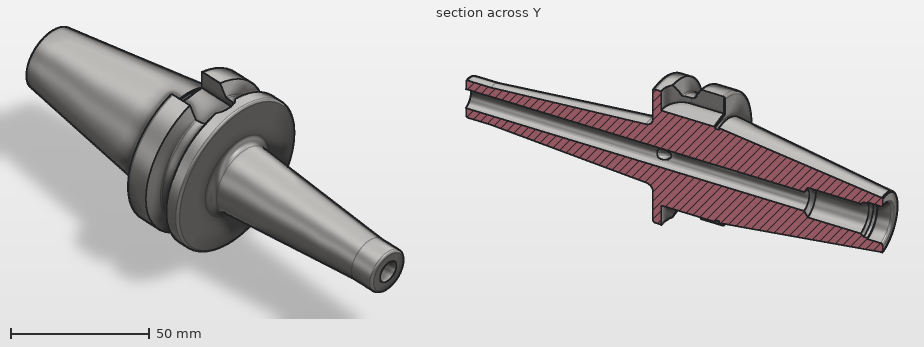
import cadquery as cq
import math

LENGTH = 167.4

SELECTION_MARGIN = 0.2

TAPER_RATE = 7 / 24
TAPER_LENGTH = 65.8
TAPER_LARGE_RADIUS = 22.5
TAPER_SMALL_RADIUS = TAPER_LARGE_RADIUS - TAPER_LENGTH * TAPER_RATE / 2
TAPER_END_CHAMFER = 0.3

NECK_RADIUS = 21.6
NECK_FILLET = 0.3

FLANGE_START = 67.3
FLANGE_END = 92.4
FLANGE_RADIUS = 31.5
FLANGE_ROUNDING = 1.0
GROOVE_RADIUS = 26.5
GROOVE_FLOOR_START = 79.7
GROOVE_FLOOR_END = 84.0
GROOVE_FLANK_ANGLE = 30.0
GROOVE_FILLET = 0.7
GROOVE_FLANK_WIDTH = (FLANGE_RADIUS - GROOVE_RADIUS) * math.tan(math.radians(GROOVE_FLANK_ANGLE))

SHANK_BASE_RADIUS = 14.0
SHANK_BASE_FILLET = 3.0
SHANK_TIP_RADIUS = 8.9
SHANK_TIP_LENGTH = 10.0
SHANK_TIP_ROUNDING = 1.0

SLOT_WIDTH = 16.0
SLOT_END = 88.9
SLOT_FLOOR_RADIUS = 22.5
SLOT_MOUTH_CHAMFER = 0.42

PILOT_RADIUS = 8.5
PILOT_DEPTH = 6.2
PILOT_ROUNDING = 1.0
COUNTERBORE_RADIUS = 8.0
COUNTERBORE_DEPTH = 7.7
THREAD_RADIUS = 6.9
THREAD_DEPTH = 30.1
THROUGH_RADIUS = 4.4
DRILL_POINT_ANGLE = 60.0

COOLANT_RADIUS = 2.0
COOLANT_MOUTH_RADIUS = 26.8
COOLANT_POSITION_ANGLE = 20.5
COOLANT_TILT = 45.0


def revolve_about_x(points):
    """Revolve a closed (x, radius) outline about the X axis."""
    return cq.Workplane("XZ").polyline(points).close().revolve(360, (0, 0, 0), (1, 0, 0))


def taper():
    body = revolve_about_x([
        (0, 0),
        (0, TAPER_SMALL_RADIUS),
        (TAPER_LENGTH, TAPER_LARGE_RADIUS),
        (TAPER_LENGTH, 0),
    ])
    return body.faces("<X").edges().chamfer(TAPER_END_CHAMFER)


def neck():
    """Cylinder that flares into the rear flange face with a small fillet."""
    fillet_center = (FLANGE_START - NECK_FILLET, NECK_RADIUS + NECK_FILLET)
    fillet_reach = NECK_FILLET * math.sqrt(0.5)
    return (
        cq.Workplane("XZ")
        .moveTo(TAPER_LENGTH, 0)
        .lineTo(TAPER_LENGTH, NECK_RADIUS)
        .lineTo(fillet_center[0], NECK_RADIUS)
        .threePointArc(
            (fillet_center[0] + fillet_reach, fillet_center[1] - fillet_reach),
            (FLANGE_START, fillet_center[1]),
        )
        .lineTo(FLANGE_START, 0)
        .close()
        .revolve(360, (0, 0, 0), (1, 0, 0))
    )


def flange():
    body = (
        cq.Workplane("YZ", origin=(FLANGE_START, 0, 0))
        .circle(FLANGE_RADIUS)
        .extrude(FLANGE_END - FLANGE_START)
        .edges()
        .fillet(FLANGE_ROUNDING)
    )
    groove = revolve_about_x([
        (GROOVE_FLOOR_START - GROOVE_FLANK_WIDTH, FLANGE_RADIUS),
        (GROOVE_FLOOR_START, GROOVE_RADIUS),
        (GROOVE_FLOOR_END, GROOVE_RADIUS),
        (GROOVE_FLOOR_END + GROOVE_FLANK_WIDTH, FLANGE_RADIUS),
    ])
    groove_floor = cq.selectors.RadiusNthSelector(0)
    return body.cut(groove.edges(groove_floor).fillet(GROOVE_FILLET))


def shank():
    tip_start = LENGTH - SHANK_TIP_LENGTH
    body = revolve_about_x([
        (FLANGE_END, 0),
        (FLANGE_END, SHANK_BASE_RADIUS),
        (tip_start, SHANK_TIP_RADIUS),
        (LENGTH, SHANK_TIP_RADIUS),
        (LENGTH, 0),
    ])
    return body.faces(">X").edges().fillet(SHANK_TIP_ROUNDING)


def round_shank_base(body):
    """Fillet the corner where the shank meets the front flange face."""
    reach = SHANK_BASE_RADIUS + SELECTION_MARGIN
    corner = cq.selectors.BoxSelector(
        (FLANGE_END - SELECTION_MARGIN, -reach, -reach),
        (FLANGE_END + SELECTION_MARGIN, reach, reach),
        boundingbox=True,
    )
    return body.edges(corner).fillet(SHANK_BASE_FILLET)


def drive_slot(side):
    """Round-ended slot cutter, above the axis for side 1 and below it for side -1."""
    half_width = SLOT_WIDTH / 2
    end_center = SLOT_END - half_width
    height = FLANGE_RADIUS - SLOT_FLOOR_RADIUS
    slot = (
        cq.Workplane("XY", origin=(0, 0, side * SLOT_FLOOR_RADIUS))
        .moveTo(FLANGE_START, -half_width)
        .lineTo(end_center, -half_width)
        .threePointArc((SLOT_END, 0), (end_center, half_width))
        .lineTo(FLANGE_START, half_width)
        .close()
        .extrude(side * height)
    )
    return slot.union(slot_mouth(side))


def slot_mouth(side):
    """Wedge that chamfers the walls and the floor of a slot at the rear flange face."""
    height = FLANGE_RADIUS - SLOT_FLOOR_RADIUS + SLOT_MOUTH_CHAMFER
    middle = side * (SLOT_FLOOR_RADIUS + height / 2)
    return (
        cq.Workplane("YZ", origin=(FLANGE_START, 0, middle))
        .rect(SLOT_WIDTH + 2 * SLOT_MOUTH_CHAMFER, height + 2 * SLOT_MOUTH_CHAMFER)
        .workplane(offset=SLOT_MOUTH_CHAMFER)
        .rect(SLOT_WIDTH, height)
        .loft(ruled=True)
    )


def bore():
    point_length = (THREAD_RADIUS - THROUGH_RADIUS) / math.tan(math.radians(DRILL_POINT_ANGLE))
    rounding_reach = PILOT_ROUNDING * (1 - math.sqrt(0.5))
    return (
        cq.Workplane("XZ")
        .moveTo(0, 0)
        .lineTo(0, PILOT_RADIUS + PILOT_ROUNDING)
        .threePointArc((rounding_reach, PILOT_RADIUS + rounding_reach), (PILOT_ROUNDING, PILOT_RADIUS))
        .lineTo(PILOT_DEPTH, PILOT_RADIUS)
        .lineTo(PILOT_DEPTH, COUNTERBORE_RADIUS)
        .lineTo(COUNTERBORE_DEPTH, COUNTERBORE_RADIUS)
        .lineTo(COUNTERBORE_DEPTH + COUNTERBORE_RADIUS - THREAD_RADIUS, THREAD_RADIUS)
        .lineTo(THREAD_DEPTH, THREAD_RADIUS)
        .lineTo(THREAD_DEPTH + point_length, THROUGH_RADIUS)
        .lineTo(LENGTH, THROUGH_RADIUS)
        .lineTo(LENGTH, 0)
        .close()
        .revolve(360, (0, 0, 0), (1, 0, 0))
    )


def coolant_hole(turn):
    """Hole from the rear flange face slanting inward to the axis, turned about X."""
    tilt = math.radians(COOLANT_TILT)
    direction = cq.Vector(math.cos(tilt), -math.sin(tilt), 0)
    mouth = cq.Vector(FLANGE_START, COOLANT_MOUTH_RADIUS, 0)
    lead = 2 * COOLANT_RADIUS
    depth = COOLANT_MOUTH_RADIUS / math.sin(tilt)
    hole = cq.Solid.makeCylinder(COOLANT_RADIUS, lead + depth, mouth - direction * lead, direction)
    return cq.Workplane(hole).rotate((0, 0, 0), (1, 0, 0), turn)


result = round_shank_base(flange().union(shank()))
result = result.union(neck()).union(taper())
for side in (1, -1):
    result = result.cut(drive_slot(side))
result = result.cut(bore())
for turn in (COOLANT_POSITION_ANGLE, COOLANT_POSITION_ANGLE + 180):
    result = result.cut(coolant_hole(turn))